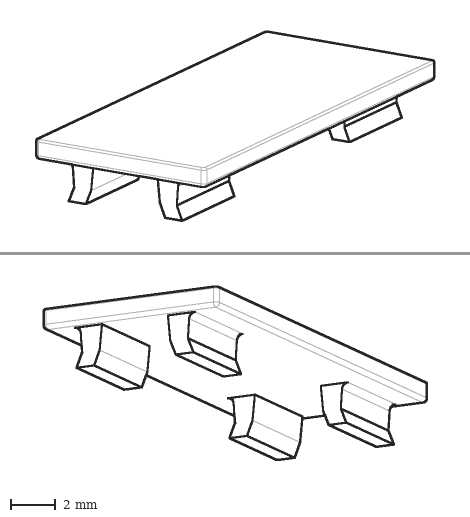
import cadquery as cq

plate_width = 8.95
plate_length = 20.0
total_height = 2.8
clip_height = 1.85
plate_thickness = total_height - clip_height
corner_radius = 0.2
top_edge_radius = 0.1
bottom_edge_radius = 0.2

clip_length = 4.52
clip_end_inset = 0.5
bend_depth = 1.18
root_inner_x = 1.68
root_outer_x = 2.78
bend_inner_x = 1.8
bend_outer_x = 2.7
tip_inner_x = 2.08
tip_outer_x = 2.98
root_fillet_radius = 0.3
embed_depth = 0.4


def make_plate():
    plate = cq.Workplane("XY").box(
        plate_width, plate_length, plate_thickness, centered=(True, True, False)
    )
    plate = plate.edges("|Z").fillet(corner_radius)
    plate = plate.faces(">Z").edges().fillet(top_edge_radius)
    return plate.faces("<Z").edges().fillet(bottom_edge_radius)


def make_clip(y_start):
    """Clip on the +X side, running from y_start towards +Y."""
    return (
        cq.Workplane("XZ", origin=(0, y_start, 0))
        .moveTo(root_inner_x, embed_depth)
        .lineTo(root_inner_x, 0)
        .lineTo(bend_inner_x, -bend_depth)
        .lineTo(tip_inner_x, -clip_height)
        .lineTo(tip_outer_x, -clip_height)
        .lineTo(bend_outer_x, -bend_depth)
        .lineTo(root_outer_x, 0)
        .lineTo(root_outer_x, embed_depth)
        .close()
        .extrude(-clip_length)
    )


result = make_plate()
clip_y_limit = plate_length / 2 - clip_end_inset
for y_start in (-clip_y_limit, clip_y_limit - clip_length):
    clip = make_clip(y_start)
    result = result.union(clip).union(clip.mirror("YZ"))

for side in (-1, 1):
    for end in (-1, 1):
        root_point = (side * root_outer_x, end * (clip_y_limit - clip_length / 2), 0)
        root_edge = cq.selectors.NearestToPointSelector(root_point)
        result = result.edges(root_edge).fillet(root_fillet_radius)